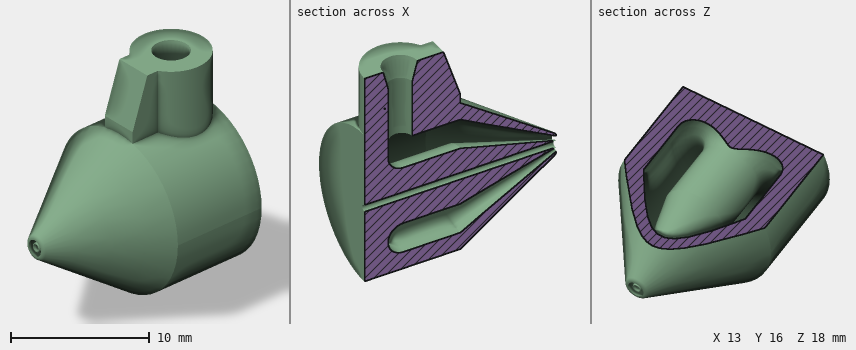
import cadquery as cq
import math

BODY_DIAMETER = 12.95
BODY_LENGTH = 8.0
NOSE_LENGTH = 8.0
NOSE_FACE_DIAMETER = 1.4
NOSE_EDGE_RADIUS = 0.35
MOUTH_DIAMETER = 1.3

CHAMBER_DIAMETER = 9.95
CORE_DIAMETER = 4.95
BACK_WALL = 2.0

CORE_TIP_DIAMETER = 0.68
CORE_TIP_RECESS = 0.1
CORE_BORE_DIAMETER = 0.55

TUBE_DIAMETER = 6.0
TUBE_HEIGHT = 5.0
INLET_DIAMETER = 1.95
INLET_MOUTH_DIAMETER = 2.85
INLET_TAPER_DEPTH = 1.7

RIB_WIDTH = 3.05
RIB_SLOPE_RUN = 1.4
RIB_SLOPE_DROP = 4.2

body_radius = BODY_DIAMETER / 2
chamber_radius = CHAMBER_DIAMETER / 2
core_radius = CORE_DIAMETER / 2
back_y = BODY_LENGTH
tip_y = -NOSE_LENGTH
top_z = body_radius + TUBE_HEIGHT
tube_y = back_y - TUBE_DIAMETER / 2


def revolve_about_y(profile):
    """Turn a closed profile, drawn as (radius, y), about the Y axis."""
    return profile.close().revolve(360, (0, 0, 0), (0, 1, 0))


def nose_half_angle():
    """Half angle of the nose cone that is tangent to the rounded tip edge."""
    center_offset = body_radius - NOSE_FACE_DIAMETER / 2
    center_depth = NOSE_LENGTH - NOSE_EDGE_RADIUS
    distance = math.hypot(center_offset, center_depth)
    return math.atan2(center_offset, center_depth) - math.asin(NOSE_EDGE_RADIUS / distance)


def make_body():
    half_angle = nose_half_angle()

    def tip_edge_point(angle):
        """Point on the rounded tip edge; the angle is measured from +X towards -Y."""
        radius = NOSE_FACE_DIAMETER / 2 + NOSE_EDGE_RADIUS * math.cos(angle)
        y = tip_y + NOSE_EDGE_RADIUS * (1 - math.sin(angle))
        return (radius, y)

    face_angle = math.pi / 2
    profile = (
        cq.Workplane("XY")
        .moveTo(0, back_y)
        .lineTo(body_radius, back_y)
        .lineTo(body_radius, 0)
        .lineTo(*tip_edge_point(half_angle))
        .threePointArc(tip_edge_point((half_angle + face_angle) / 2), tip_edge_point(face_angle))
        .lineTo(0, tip_y)
    )
    return revolve_about_y(profile)


def make_chamber():
    """Annular space with a fully rounded back end, open at the nose tip."""
    end_radius = (chamber_radius - core_radius) / 2
    chamber_back_y = back_y - BACK_WALL
    round_start_y = chamber_back_y - end_radius
    core_tip_y = tip_y + CORE_TIP_RECESS
    profile = (
        cq.Workplane("XY")
        .moveTo(core_radius, round_start_y)
        .threePointArc((core_radius + end_radius, chamber_back_y), (chamber_radius, round_start_y))
        .lineTo(chamber_radius, 0)
        .lineTo(MOUTH_DIAMETER / 2, tip_y)
        .lineTo(0, tip_y)
        .lineTo(0, core_tip_y)
        .lineTo(CORE_TIP_DIAMETER / 2, core_tip_y)
        .lineTo(core_radius, 0)
    )
    return revolve_about_y(profile)


def make_core_bore():
    return (
        cq.Workplane("XZ", origin=(0, back_y, 0))
        .circle(CORE_BORE_DIAMETER / 2)
        .extrude(BODY_LENGTH + NOSE_LENGTH)
    )


def make_tube():
    return cq.Workplane("XY").center(0, tube_y).circle(TUBE_DIAMETER / 2).extrude(top_z)


def make_rib():
    side = (
        cq.Workplane("YZ")
        .moveTo(tube_y, 0)
        .lineTo(0, 0)
        .lineTo(0, top_z - RIB_SLOPE_DROP)
        .lineTo(RIB_SLOPE_RUN, top_z)
        .lineTo(tube_y, top_z)
        .close()
    )
    return side.extrude(RIB_WIDTH / 2, both=True)


def make_inlet():
    """Tapered mouth and straight hole from the tube top down into the chamber."""
    chamber_middle_z = (chamber_radius + core_radius) / 2
    hole = (
        cq.Workplane("XY", origin=(0, tube_y, chamber_middle_z))
        .circle(INLET_DIAMETER / 2)
        .extrude(top_z - chamber_middle_z)
    )
    taper = (
        cq.Workplane("XY", origin=(0, tube_y, top_z))
        .circle(INLET_MOUTH_DIAMETER / 2)
        .workplane(offset=-INLET_TAPER_DEPTH)
        .circle(INLET_DIAMETER / 2)
        .loft()
    )
    return hole.union(taper)


outer_shape = make_body().union(make_tube()).union(make_rib())
hollow_part = outer_shape.cut(make_chamber()).cut(make_core_bore()).cut(make_inlet())
result = hollow_part.solids()